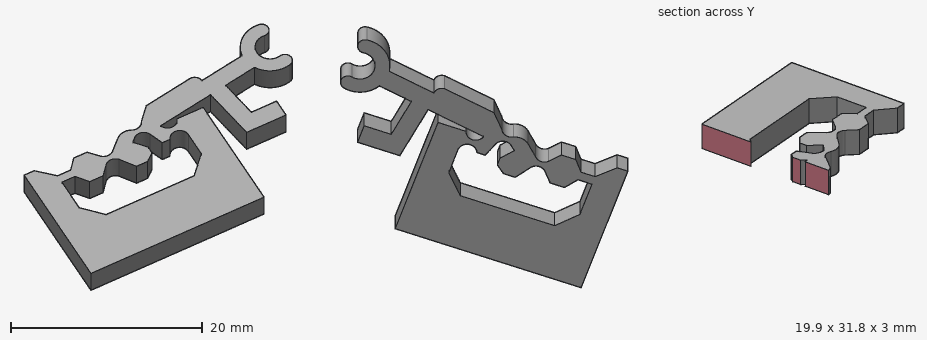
import cadquery as cq
import math

thickness = 3.0

frame_right = 19.9
frame_height = 20.6
foot_left = 5.37
foot_height = 1.2
jaw_left = 6.65
cavity_floor = 3.02
cavity_right = 13.95
cavity_corner_x = 2.13
cavity_corner_y = 2.03

web = 0.65
notch_radius = 1.02
column_x = 7.65
top_hinge = (column_x, 16.53)
middle_hinge = (6.07, 13.13)
bottom_hinge = (column_x, 8.9)

middle_left_arc = (65, -30)
middle_right_arc = (225, 113)
bottom_left_arc = (50, -45)
bottom_right_arc = (225, 130)
top_right_arc_end = -270
cavity_top = top_hinge[1] + notch_radius

post_left = 7.12
post_right = 8.07
block_width = 3.5
block_bottom = 4.58
block_side_bottom = 5.6
block_side_top = 7.18

link_right = 10.0
link_side_bottom = 10.85
link_side_top = 12.15
link_top = 13.1
link_top_left = 8.42
link_top_right = 9.25
link_crotch = (7.1, 11.98)
link_heel = (5.47, 12.08)
link_heel_start = (5.8, 10.93)

tilt = math.radians(9)
arm_foot = (6.6, 15.55)
arm_width_x = 3.02
stem_width_x = 2.03
arm_base_y = 15.48
shoulder_bottom = 21.3
shoulder_mid = (2.9, 21.83)
shoulder_top = 22.15
tail_right = 8.6
tail_bottom = 14.65

bar_bottom = 22.05
bar_top = 24.03
bar_right = 11.65
bar_width = 2.05
bar_tip = 27.7

claw_center = (3.1, 30.48)
claw_outer = 3.1
claw_inner = 1.55
left_tip_angle = math.radians(173.4)
right_tip_angle = math.radians(13)
stem_top = 28.3


def polar(center, radius, angle):
    return (center[0] + radius * math.cos(angle), center[1] + radius * math.sin(angle))


def notch_center(hinge, side):
    """Centre of the notch on the -X (side=-1) or +X (side=1) flank of a hinge."""
    return (hinge[0] + side * (web / 2 + notch_radius), hinge[1])


def notch(outline, hinge, side, start, end):
    """Line to the notch, then follow its arc between two angles in degrees."""
    center = notch_center(hinge, side)
    first, middle, last = [
        polar(center, notch_radius, math.radians(a)) for a in (start, (start + end) / 2, end)
    ]
    return outline.lineTo(*first).threePointArc(middle, last)


def arm_edge(y, offset=0.0):
    """Point at height y on the tilted +X edge of the arm, moved to -X by offset."""
    return (arm_foot[0] - (y - arm_foot[1]) * math.tan(tilt) - offset, y)


def bar_edge(corner, x):
    """Point at x on the line through corner square to the arm."""
    return (x, corner[1] + (x - corner[0]) * math.tan(tilt))


def make_mechanism():
    block_left = column_x - block_width / 2
    jaw_notch_angle = math.degrees(
        math.acos((jaw_left - notch_center(top_hinge, -1)[0]) / notch_radius)
    )
    bar_lower = arm_edge(bar_bottom)
    bar_upper = arm_edge(bar_top)
    bar_inner = bar_right - bar_width

    outline = (
        cq.Workplane("XY")
        .moveTo(foot_left, 0)
        .lineTo(frame_right, 0)
        .lineTo(frame_right, frame_height)
        .lineTo(jaw_left, frame_height)
    )
    outline = notch(outline, top_hinge, -1, jaw_notch_angle, -jaw_notch_angle)

    outline = (
        outline.lineTo(*arm_foot)
        .lineTo(*bar_lower)
        .lineTo(*bar_edge(bar_lower, bar_right))
        .lineTo(bar_right, bar_tip)
        .lineTo(bar_inner, bar_tip)
        .lineTo(*bar_edge(bar_upper, bar_inner))
        .lineTo(*bar_upper)
        .lineTo(*arm_edge(stem_top))
        .lineTo(*arm_edge(stem_top, stem_width_x))
        .lineTo(*arm_edge(shoulder_top, stem_width_x))
        .threePointArc(shoulder_mid, arm_edge(shoulder_bottom, arm_width_x))
        .lineTo(*arm_edge(arm_base_y, arm_width_x))
    )

    outline = notch(outline, middle_hinge, -1, *middle_left_arc)
    outline = outline.threePointArc(link_heel, link_heel_start)
    outline = notch(outline, bottom_hinge, -1, *bottom_left_arc)
    outline = (
        outline.lineTo(block_left, block_side_top)
        .lineTo(block_left, block_side_bottom)
        .lineTo(post_left, block_bottom)
        .lineTo(post_left, cavity_floor)
        .lineTo(foot_left, foot_height)
        .close()
    )
    body = outline.extrude(thickness)
    return body.cut(make_cavity())


def make_cavity():
    """Opening bounded by the frame and the +X flanks of the linked bodies."""
    block_right = column_x + block_width / 2
    tail_notch_angle = -math.degrees(
        math.acos((tail_right - notch_center(top_hinge, 1)[0]) / notch_radius)
    )
    cavity = (
        cq.Workplane("XY")
        .moveTo(post_right, cavity_floor)
        .lineTo(post_right, block_bottom)
        .lineTo(block_right, block_side_bottom)
        .lineTo(block_right, block_side_top)
    )
    cavity = notch(cavity, bottom_hinge, 1, *bottom_right_arc)
    cavity = (
        cavity.lineTo(link_right, link_side_bottom)
        .lineTo(link_right, link_side_top)
        .lineTo(link_top_right, link_top)
        .lineTo(link_top_left, link_top)
        .lineTo(*link_crotch)
    )
    cavity = notch(cavity, middle_hinge, 1, *middle_right_arc)
    cavity = cavity.lineTo(tail_right, tail_bottom)
    cavity = notch(cavity, top_hinge, 1, tail_notch_angle, top_right_arc_end)
    return (
        cavity.lineTo(cavity_right - cavity_corner_x, cavity_top)
        .lineTo(cavity_right, cavity_top - cavity_corner_y)
        .lineTo(cavity_right, cavity_floor + cavity_corner_y)
        .lineTo(cavity_right - cavity_corner_x, cavity_floor)
        .close()
        .extrude(thickness)
    )


def make_claw():
    """Open ring with fully rounded tips."""
    tip_radius = (claw_outer - claw_inner) / 2
    tip_ring = (claw_outer + claw_inner) / 2
    left_tip = polar(claw_center, tip_ring, left_tip_angle)
    right_tip = polar(claw_center, tip_ring, right_tip_angle)
    bottom = math.radians(-90)
    return (
        cq.Workplane("XY")
        .moveTo(*polar(claw_center, claw_outer, left_tip_angle))
        .threePointArc(
            polar(claw_center, claw_outer, bottom),
            polar(claw_center, claw_outer, right_tip_angle),
        )
        .threePointArc(
            polar(right_tip, tip_radius, right_tip_angle + math.pi / 2),
            polar(claw_center, claw_inner, right_tip_angle),
        )
        .threePointArc(
            polar(claw_center, claw_inner, bottom),
            polar(claw_center, claw_inner, left_tip_angle),
        )
        .threePointArc(
            polar(left_tip, tip_radius, left_tip_angle - math.pi / 2),
            polar(claw_center, claw_outer, left_tip_angle),
        )
        .close()
        .extrude(thickness)
    )


result = make_mechanism().union(make_claw())